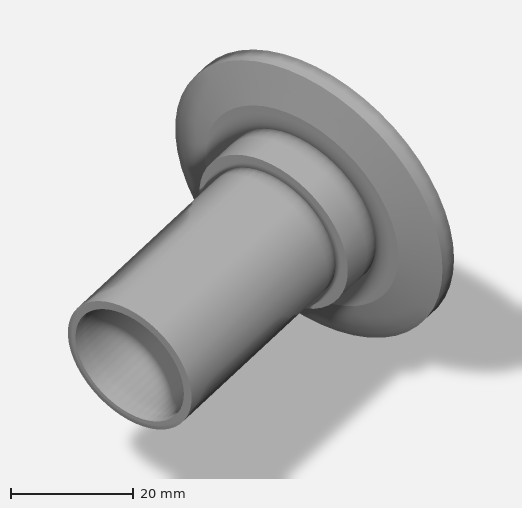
import cadquery as cq

flange_diameter = 54.85
flange_face_diameter = 39.65
hub_diameter = 30.45
tube_diameter = 25.4
bore_diameter = 22.2

total_length = 51.85
rim_thickness = 3.1
taper_length = 2.0
hub_length = 7.6

rim_end = -rim_thickness
taper_end = rim_end - taper_length
hub_end = taper_end - hub_length
tube_end = -total_length

half_section = (
    cq.Workplane("XY")
    .moveTo(bore_diameter / 2, 0)
    .lineTo(flange_diameter / 2, 0)
    .lineTo(flange_diameter / 2, rim_end)
    .lineTo(flange_face_diameter / 2, taper_end)
    .lineTo(hub_diameter / 2, taper_end)
    .lineTo(hub_diameter / 2, hub_end)
    .lineTo(tube_diameter / 2, hub_end)
    .lineTo(tube_diameter / 2, tube_end)
    .lineTo(bore_diameter / 2, tube_end)
    .close()
)

result = half_section.revolve(360, (0, 0, 0), (0, 1, 0))